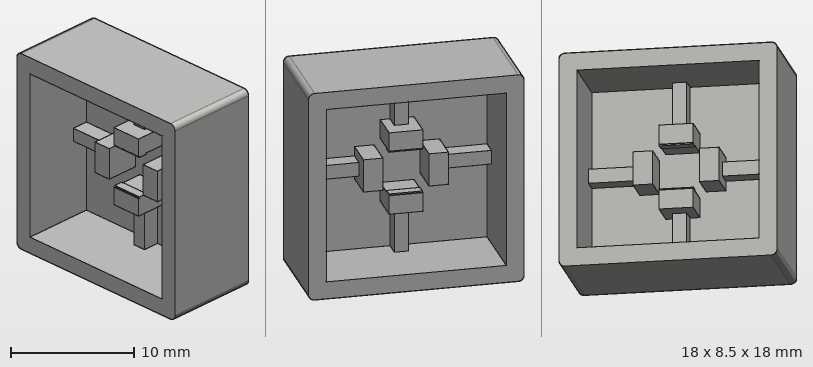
import cadquery as cq

side = 18.0
depth = 8.5
corner_radius = 0.5
wall = 1.5
pocket_depth = 6.5
half_pocket = side / 2 - wall

jaw_width = 2.8
jaw_thickness = 1.62
jaw_inner = 1.93
jaw_outer = jaw_inner + jaw_thickness
jaw_front = 3.5
rib_width = 1.19
rib_front = 5.0

band_height = 0.1
band_front = 3.6
band_back = 4.41

overlap = 0.18
floor_reach = pocket_depth + overlap


def box_between(low, high):
    """Box spanning two opposite corners."""
    size = [b - a for a, b in zip(low, high)]
    return cq.Workplane("XY").box(*size, centered=False).translate(low)


def make_cap():
    cap = box_between((-side / 2, 0, -side / 2), (side / 2, depth, side / 2))
    cap = cap.edges("|Y").fillet(corner_radius)
    pocket = box_between((-half_pocket, 0, -half_pocket), (half_pocket, pocket_depth, half_pocket))
    return cap.cut(pocket)


def make_upper_jaw():
    """Jaw on the +Z side of the centre with its rib."""
    jaw = box_between(
        (-jaw_width / 2, jaw_front, jaw_inner),
        (jaw_width / 2, floor_reach, jaw_outer),
    )
    rib = box_between(
        (-rib_width / 2, rib_front, jaw_outer - overlap),
        (rib_width / 2, floor_reach, half_pocket + overlap),
    )
    return jaw.union(rib)


def make_upper_band():
    """Flat raised band across the inner face of the +Z jaw."""
    return box_between(
        (-jaw_width / 2, band_front, jaw_inner - band_height),
        (jaw_width / 2, band_back, jaw_inner + overlap),
    )


result = make_cap()
for angle in (0, 90, 180, 270):
    jaw = make_upper_jaw()
    if angle in (0, 180):
        jaw = jaw.union(make_upper_band())
    result = result.union(jaw.rotate((0, 0, 0), (0, 1, 0), angle))